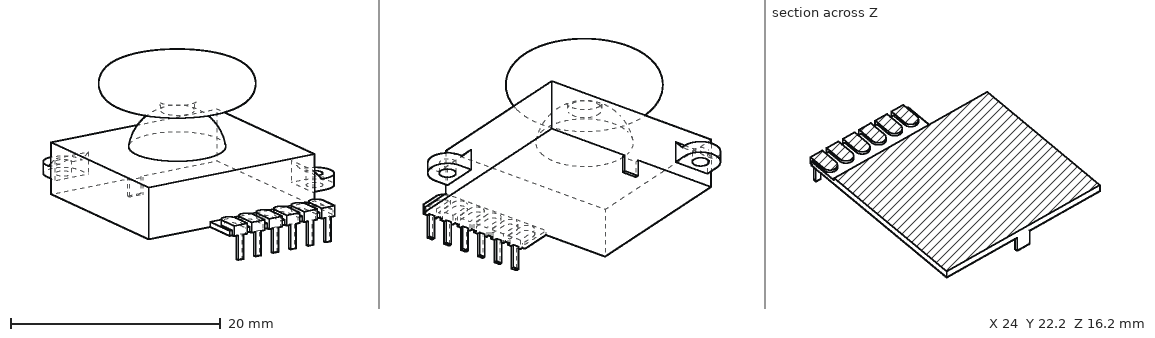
import cadquery as cq
import math


body_length_x = 16.9
body_width_y = 18.95
body_height = 5.2
stick_from_left = 7.7
stick_from_front = 9.33

left = -stick_from_left
right = left + body_length_x
front = -stick_from_front
back = front + body_width_y

ball_radius = 4.7
ball_base_radius = 4.64
neck_radius = 3.28 / 2
neck_length = 0.48
neck_fillet = 0.7
cap_radius = 7.5
cap_thickness = 2.92
crown_radius = 4.38

ear_radius = 1.9
ear_hole_diameter = 1.6
ear_bottom = 1.3
ear_thickness = 1.15
gusset_size = 1.05
left_ear_reach = 3.35
back_ear_reach = 3.3
left_ear_inset = 2.33
back_ear_inset = 2.18
left_ear_y = front + left_ear_inset
back_ear_x = right - back_ear_inset

strip_reach = 3.36
strip_width = 11.93
strip_thickness = 0.52
contact_count = 6
contact_pitch = 2.0
contact_width = 1.5
contact_length = 2.79
first_contact_inset = 0.87
metal_thickness = 0.34
pad_thickness = 0.53
pin_width = 0.62
pin_drop = 2.45

leg_width = 1.57
leg_drop = 1.7

overall_height = 16.18
ball_center_z = body_height - math.sqrt(ball_radius**2 - ball_base_radius**2)
neck_bottom = ball_center_z + math.sqrt(ball_radius**2 - neck_radius**2)
neck_top = neck_bottom + neck_length
cap_bottom = neck_top + neck_fillet
cap_top = cap_bottom + cap_thickness
crown_top = overall_height - pin_drop


def box(x_min, x_max, y_min, y_max, z_min, z_max):
    """Box given by its limits along each axis."""
    size = (x_max - x_min, y_max - y_min, z_max - z_min)
    return cq.Workplane("XY").box(*size, centered=False).translate((x_min, y_min, z_min))


def make_stick():
    """Ball, filleted neck, round-edged cap and crown as one revolved profile, rooted in the housing."""
    edge_radius = cap_thickness / 2
    flat_radius = cap_radius - edge_radius
    diagonal = math.sqrt(0.5)
    fillet_mid = neck_fillet * (1 - diagonal)
    crown_height = crown_top - cap_top
    crown_sphere = (crown_radius**2 + crown_height**2) / (2 * crown_height)
    crown_mid_r = crown_radius / 2
    crown_mid_z = crown_top - crown_sphere + math.sqrt(crown_sphere**2 - crown_mid_r**2)
    ball_mid = (
        ball_radius * diagonal,
        ball_center_z + ball_radius * diagonal,
    )
    profile = (
        cq.Workplane("XZ")
        .moveTo(0, body_height / 2)
        .lineTo(ball_base_radius, body_height / 2)
        .lineTo(ball_base_radius, body_height)
        .threePointArc(ball_mid, (neck_radius, neck_bottom))
        .lineTo(neck_radius, neck_top)
        .threePointArc(
            (neck_radius + fillet_mid, neck_top + neck_fillet * diagonal),
            (neck_radius + neck_fillet, cap_bottom),
        )
        .lineTo(flat_radius, cap_bottom)
        .threePointArc((cap_radius, cap_bottom + edge_radius), (flat_radius, cap_top))
        .lineTo(crown_radius, cap_top)
        .threePointArc((crown_mid_r, crown_mid_z), (0, crown_top))
        .close()
    )
    return profile.revolve(360, (0, 0, 0), (0, 1, 0))


def make_ear(reach):
    """Round-ended ear with gusset, growing along -X from the plane X = 0."""
    center_x = ear_radius - reach
    ear_top = ear_bottom + ear_thickness
    plate = box(center_x, 0, -ear_radius, ear_radius, ear_bottom, ear_top)
    rounded_end = (
        cq.Workplane("XY", origin=(center_x, 0, ear_bottom)).circle(ear_radius).extrude(ear_thickness)
    )
    gusset = (
        cq.Workplane("XZ")
        .polyline([(-gusset_size, ear_top), (0, ear_top), (0, ear_top + gusset_size)])
        .close()
        .extrude(ear_radius, both=True)
    )
    hole = (
        cq.Workplane("XY", origin=(center_x, 0, 0))
        .circle(ear_hole_diameter / 2)
        .extrude(body_height)
    )
    return plate.union(rounded_end).union(gusset).cut(hole)


def make_contact(y):
    """Round-ended pad on the strip, bent down over the strip edge into a narrow pin."""
    edge_x = right + strip_reach
    outer_x = edge_x + metal_thickness
    half_width = contact_width / 2
    round_x = outer_x - contact_length + half_width
    pad_top = strip_thickness + pad_thickness
    pad = box(round_x, outer_x, y - half_width, y + half_width, strip_thickness, pad_top)
    pad_end = (
        cq.Workplane("XY", origin=(round_x, y, strip_thickness))
        .circle(half_width)
        .extrude(pad_thickness)
    )
    bend = box(edge_x, outer_x, y - half_width, y + half_width, 0, pad_top)
    pin = box(edge_x, outer_x, y - pin_width / 2, y + pin_width / 2, -pin_drop, pad_top)
    return pad.union(pad_end).union(bend).union(pin)


body = box(left, right, front, back, 0, body_height)
strip = box(right, right + strip_reach, back - strip_width, back, 0, strip_thickness)

leg_y = (front + back) / 2
leg_half_width = leg_width / 2
leg = box(
    left, left + metal_thickness, leg_y - leg_half_width, leg_y + leg_half_width, -leg_drop, body_height / 2
)

left_ear = make_ear(left_ear_reach).translate((left, left_ear_y, 0))
back_ear = make_ear(back_ear_reach).rotate((0, 0, 0), (0, 0, 1), -90).translate((back_ear_x, back, 0))

result = body.union(strip).union(leg).union(left_ear).union(back_ear).union(make_stick())
for index in range(contact_count):
    result = result.union(make_contact(back - first_contact_inset - index * contact_pitch))